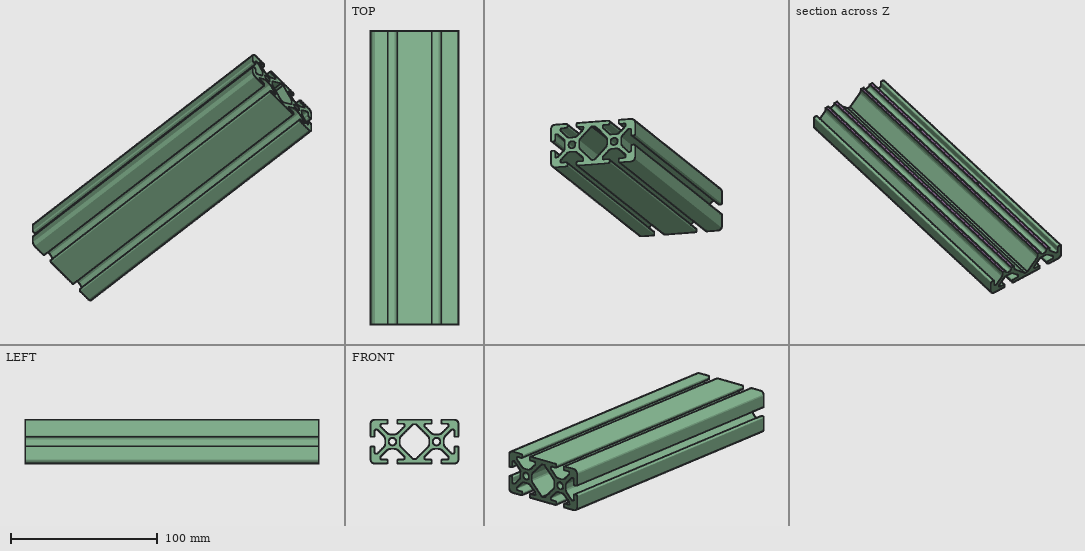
import cadquery as cq

length = 200.0
cell = 30.0
width = 2 * cell
corner_radius = 3.0

core_half = 5.0
bore_diameter = 5.0
web_offset = 2.2
blend_radius = 3.5

mouth_half = 3.2
lip_inner_span = 24.2
lip_edge_radius = 1.0
pocket_half = 8.2
pocket_radius = 1.0

cavity_half_width = cell / 2 - core_half
cavity_half_height = 11.8
cavity_diagonal = cell / 2 - web_offset


def prism(points):
    """Bar along the whole length with the given X-Z outline."""
    return cq.Workplane("XZ").polyline(points).close().extrude(length / 2, both=True)


def fillet_at(body, corners, radius):
    """Round the lengthwise edges that pass through the given X-Z corners and their mirror images in X."""
    reach = 0.02
    for x, z in corners:
        for edge_x in (-x, x):
            low = (edge_x - reach, -length, z - reach)
            high = (edge_x + reach, length, z + reach)
            near = cq.selectors.BoxSelector(low, high)
            body = body.edges(near).fillet(radius)
    return body


def slot_cutter():
    """Upward-opening T-slot of a cell centred on the origin."""
    top = cell / 2
    pocket_top = lip_inner_span / 2
    core_corner = (core_half - web_offset, core_half)
    pocket_low = (pocket_half, pocket_half + web_offset)
    pocket_high = (pocket_half, pocket_top)
    lip_inner = (mouth_half, pocket_top)
    lip_outer = (mouth_half, top)

    right = [core_corner, pocket_low, pocket_high, lip_inner, lip_outer]
    left = [(-x, z) for x, z in reversed(right)]
    cutter = prism(right + left)
    cutter = fillet_at(cutter, [core_corner], blend_radius)
    cutter = fillet_at(cutter, [pocket_low, pocket_high], pocket_radius)
    return fillet_at(cutter, [lip_inner], lip_edge_radius)


def cavity_cutter():
    """Octagonal bore along the middle of the profile."""
    side_corner = (cavity_half_width, cavity_diagonal - cavity_half_width)
    top_corner = (cavity_diagonal - cavity_half_height, cavity_half_height)
    upper = [side_corner, top_corner, (-top_corner[0], top_corner[1]), (-side_corner[0], side_corner[1])]
    lower = [(x, -z) for x, z in reversed(upper)]
    cutter = prism(upper + lower)
    return fillet_at(cutter, [side_corner, (side_corner[0], -side_corner[1])], blend_radius)


result = cq.Workplane("XY").box(width, length, cell).edges("|Y").fillet(corner_radius)

slot = slot_cutter()
axis_start = (0, 0, 0)
axis_end = (0, 1, 0)
for side in (-1, 1):
    for angle in (0, 90 * side, 180):
        result = result.cut(slot.rotate(axis_start, axis_end, angle).translate((side * cell / 2, 0, 0)))
    bore = cq.Workplane("XZ").center(side * cell / 2, 0).circle(bore_diameter / 2).extrude(length / 2, both=True)
    result = result.cut(bore)

result = result.cut(cavity_cutter())

lip_corners = []
for sign in (-1, 1):
    mouth_edge = sign * mouth_half
    lip_corners += [
        (cell / 2 + mouth_edge, cell / 2),
        (cell / 2 + mouth_edge, -cell / 2),
        (width / 2, mouth_edge),
    ]
result = fillet_at(result, lip_corners, lip_edge_radius)